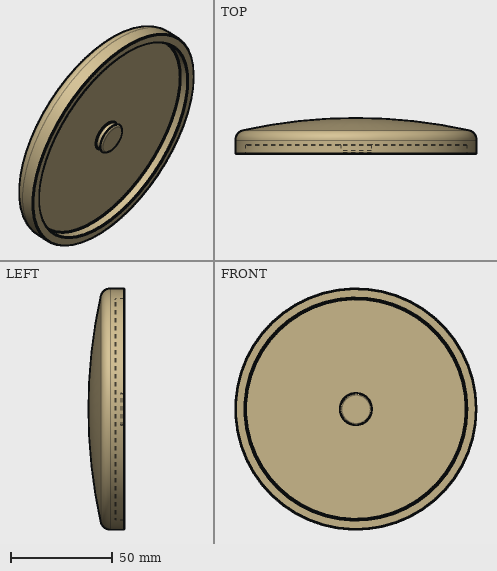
import cadquery as cq
import math

outer_radius = 59.5
total_height = 18.0
shoulder_start = 7.0
shoulder_radius = 5.0
edge_chamfer = 0.5

recess_radius = 54.5
recess_depth = 5.0

boss_radius = 8.0
boss_height = 4.0
boss_edge_round = 1.0
boss_foot_chamfer = 0.5
neck_radius = boss_radius - boss_foot_chamfer


def revolve_about_y(profile):
    """Turn a closed radius / Y profile through a full circle about the Y axis."""
    return profile.close().revolve(360, (0, 0, 0), (0, 1, 0))


def make_body():
    """Solid lid with a spherical dome that runs tangent into the shoulder round."""
    shoulder_center = outer_radius - shoulder_radius
    rise = total_height - shoulder_start
    dome_radius = (shoulder_center**2 + rise**2 - shoulder_radius**2) / (2 * (rise - shoulder_radius))
    dome_center = total_height - dome_radius
    dome_angle = math.atan2(shoulder_center, shoulder_start - dome_center)

    def shoulder_point(angle):
        return (
            shoulder_center + shoulder_radius * math.sin(angle),
            shoulder_start + shoulder_radius * math.cos(angle),
        )

    def dome_point(angle):
        return dome_radius * math.sin(angle), dome_center + dome_radius * math.cos(angle)

    profile = (
        cq.Workplane("XY")
        .lineTo(outer_radius - edge_chamfer, 0)
        .lineTo(outer_radius, edge_chamfer)
        .lineTo(outer_radius, shoulder_start)
        .threePointArc(shoulder_point((dome_angle + math.pi / 2) / 2), shoulder_point(dome_angle))
        .threePointArc(dome_point(dome_angle / 2), (0, total_height))
    )
    return revolve_about_y(profile)


def make_recess():
    """Round recess, flared at the mouth and bevelled where the wall meets the floor."""
    profile = (
        cq.Workplane("XY")
        .lineTo(recess_radius + edge_chamfer, 0)
        .lineTo(recess_radius, edge_chamfer)
        .lineTo(recess_radius, recess_depth - edge_chamfer)
        .lineTo(recess_radius - edge_chamfer, recess_depth)
        .lineTo(0, recess_depth)
    )
    return revolve_about_y(profile)


def make_boss():
    """Round boss with a rounded head, a narrower neck and a bevelled foot."""
    tip = recess_depth - boss_height
    round_center = boss_radius - boss_edge_round
    diagonal = boss_edge_round * math.sqrt(0.5)
    profile = (
        cq.Workplane("XY")
        .moveTo(0, tip)
        .lineTo(round_center, tip)
        .threePointArc(
            (round_center + diagonal, tip + boss_edge_round - diagonal),
            (boss_radius, tip + boss_edge_round),
        )
        .lineTo(neck_radius, tip + boss_edge_round)
        .lineTo(neck_radius, recess_depth - boss_foot_chamfer)
        .lineTo(boss_radius, recess_depth)
        .lineTo(0, recess_depth)
    )
    return revolve_about_y(profile)


result = make_body().cut(make_recess()).union(make_boss())